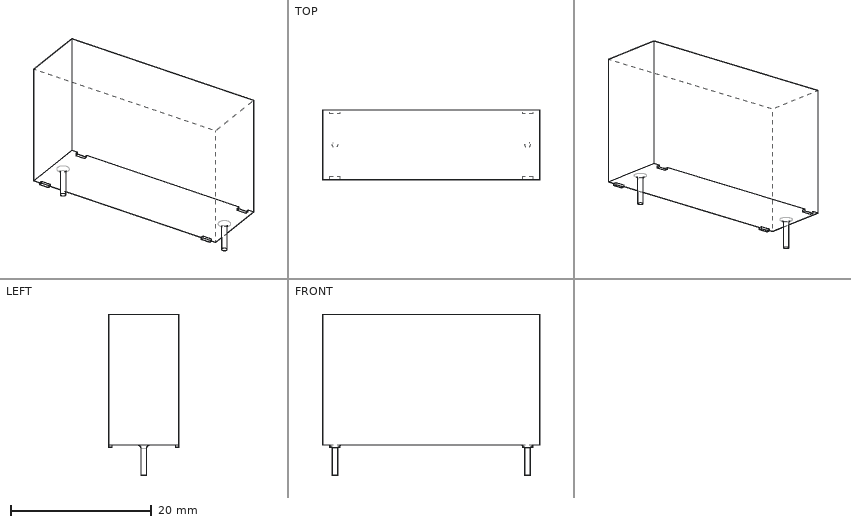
import cadquery as cq


case_length = 31.0
case_width = 10.0
case_top = 19.0

foot_height = 0.3
foot_length = 1.5
foot_width = 0.5

lead_pitch = 27.5
lead_diameter = 0.8
lead_length = 4.0
fillet_radius = 0.5

lead_positions = (-lead_pitch / 2, lead_pitch / 2)


def make_case():
    """Plain rectangular case above the feet."""
    case_height = case_top - foot_height
    return (
        cq.Workplane("XY", origin=(0, 0, foot_height))
        .box(case_length, case_width, case_height, centered=(True, True, False))
    )


def make_foot(x, side):
    """Foot centred on a lead in X and flush with one long side (side = -1 or 1)."""
    y = side * (case_width - foot_width) / 2
    return (
        cq.Workplane("XY", origin=(x, y, 0))
        .box(foot_length, foot_width, foot_height, centered=(True, True, False))
    )


def make_lead():
    """Round lead as a revolved profile, flaring tangentially into the case underside."""
    radius = lead_diameter / 2
    flare_radius = radius + fillet_radius
    flare_bottom = foot_height - fillet_radius
    return (
        cq.Workplane("XZ")
        .moveTo(0, -lead_length)
        .lineTo(radius, -lead_length)
        .lineTo(radius, flare_bottom)
        .tangentArcPoint((flare_radius, foot_height), relative=False)
        .lineTo(0, foot_height)
        .close()
        .revolve(360, (0, 0, 0), (0, 1, 0))
    )


result = make_case()
for lead_x in lead_positions:
    for long_side in (-1, 1):
        result = result.union(make_foot(lead_x, long_side))
    result = result.union(make_lead().translate((lead_x, 0, 0)))